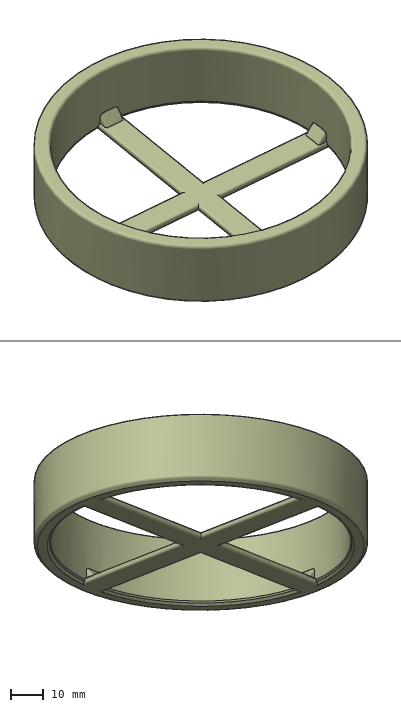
import cadquery as cq

outer_diameter = 101.5
inner_diameter = 91.5
height = 22.0
rim_fillet = 1.0
base_chamfer = 1.0
base_blend_radius = 0.8

bar_width = 8.3
bar_thickness = 2.0
bar_fillet = 0.7

ramp_width = bar_width - 2 * bar_fillet
ramp_toe_radius = 42.6
ramp_height = 3.6
ramp_edge_fillet = bar_fillet

outer_radius = outer_diameter / 2
inner_radius = inner_diameter / 2
mid_wall_radius = (outer_radius + inner_radius) / 2


def make_ring():
    ring = cq.Workplane("XY").circle(outer_radius).circle(inner_radius).extrude(height)
    ring = ring.faces(">Z").edges().fillet(rim_fillet)
    ring = ring.faces("<Z").edges().chamfer(base_chamfer)
    chamfer_top_edges = cq.selectors.BoxSelector(
        (-outer_diameter, -outer_diameter, base_chamfer / 2),
        (outer_diameter, outer_diameter, base_chamfer * 1.5),
    )
    return ring.edges("%CIRCLE").edges(chamfer_top_edges).fillet(base_blend_radius)


def make_bar():
    """Bar along X with rounded long edges, resting on the base plane."""
    bar = cq.Workplane("XY").box(2 * mid_wall_radius, bar_width, bar_thickness, centered=(True, True, False))
    return bar.edges("|X").fillet(bar_fillet)


def make_ramp():
    """Wedge at the +X bar end that rises from its toe to the ring wall."""
    ramp_top = bar_thickness + ramp_height
    ramp = (
        cq.Workplane("XZ")
        .moveTo(ramp_toe_radius, bar_thickness)
        .lineTo(inner_radius, ramp_top)
        .lineTo(mid_wall_radius, ramp_top)
        .lineTo(mid_wall_radius, bar_thickness)
        .close()
        .extrude(ramp_width / 2, both=True)
    )
    sloped_side_edges = ramp.faces("<X").edges("not |Y")
    return sloped_side_edges.fillet(ramp_edge_fillet)


bar = make_bar()
ramp = make_ramp()
result = make_ring()
for angle in (0, 90):
    result = result.union(bar.rotate((0, 0, 0), (0, 0, 1), angle))
for angle in (0, 90, 180, 270):
    result = result.union(ramp.rotate((0, 0, 0), (0, 0, 1), angle))